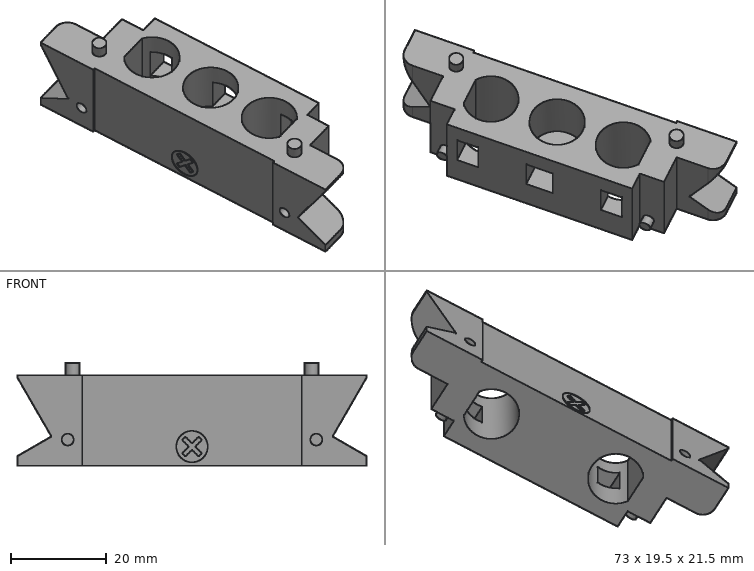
import cadquery as cq
import math

length = 73.0
depth = 19.5
total_height = 21.5
body_height = 19.0

wing_depth = 8.55
wing_corner_radius = 3.0
shoulder_width = 53.0
shoulder_depth = 15.3
back_width = 42.05

relief_width = 46.0
relief_depth = 0.5

notch_depth = 7.1
notch_floor_angle = 30.0
end_foot_height = 2.05

bore_diameter = 11.6
bore_spacing = 15.05
bore_center_y = 10.0
flat_to_flat = 39.7
center_bore_floor = 7.15

slot_roof_thickness = 4.6
slot_ceiling = body_height - slot_roof_thickness
slot_flat_gap = 1.2
slot_outer_reach = flat_to_flat / 2 - slot_flat_gap
outer_slot_width = 4.75
center_slot_width = 6.0

top_pin_diameter = 3.0
top_pin_spacing = 50.0
top_pin_y = 5.05
side_pin_diameter = 2.5
back_pin_spacing = 46.0
back_pin_z = 3.3
back_pin_length = 2.05
front_hole_spacing = 52.0
front_hole_z = 5.5
front_hole_depth = 3.65

screw_diameter = 6.6
screw_z = 4.0
screw_sink = 0.15
cross_length = 4.9
cross_width = 0.95
cross_depth = 0.15


def box(x_min, x_max, y_min, y_max, z_min, z_max):
    """Axis-aligned block between the given limits."""
    size = (x_max - x_min, y_max - y_min, z_max - z_min)
    return cq.Workplane("XY").box(*size, centered=False).translate((x_min, y_min, z_min))


def centered_block(width, y_max):
    """Full-height block centred on X, from the front face to y_max."""
    return box(-width / 2, width / 2, 0, y_max, 0, body_height)


def y_cylinder(x, z, diameter, y_start, y_end):
    """Cylinder along +Y."""
    plane = cq.Workplane("XZ", origin=(x, y_start, z))
    return plane.circle(diameter / 2).extrude(y_start - y_end)


def make_body():
    wings = centered_block(length, wing_depth)
    wings = wings.edges("|Z and >Y").fillet(wing_corner_radius)
    body = wings.union(centered_block(shoulder_width, shoulder_depth))
    body = body.union(centered_block(back_width, depth))
    relief = box(-relief_width / 2, relief_width / 2, 0, relief_depth, 0, body_height)
    return body.cut(relief)


def end_notch(side):
    """V notch whose lower face slopes up and upper face slopes down to a right angle."""
    slope = math.tan(math.radians(notch_floor_angle))
    tip_z = end_foot_height + notch_depth * slope
    top_z = tip_z + notch_depth / slope
    outer_x = side * length / 2
    tip_x = side * (length / 2 - notch_depth)
    profile = [(outer_x, end_foot_height), (tip_x, tip_z), (outer_x, top_z)]
    return cq.Workplane("XZ").polyline(profile).close().extrude(-wing_depth)


def bore(x, floor_z):
    plane = cq.Workplane("XY", origin=(x, bore_center_y, floor_z))
    return plane.circle(bore_diameter / 2).extrude(body_height - floor_z)


def make_bores():
    through_floor = 0
    outer = bore(-bore_spacing, through_floor).union(bore(bore_spacing, through_floor))
    outer = outer.intersect(centered_block(flat_to_flat, depth))
    return outer.union(bore(0, center_bore_floor))


def slot(x_min, x_max):
    """Rectangular slot from the bore centre line out through the back face."""
    return box(x_min, x_max, bore_center_y, depth, center_bore_floor, slot_ceiling)


def screw_recess():
    """Sunk screw head with a diagonal cross recess."""
    head_y = relief_depth + screw_sink
    recess = y_cylinder(0, screw_z, screw_diameter, relief_depth, head_y)
    for angle in (45, -45):
        arm = cq.Workplane("XZ", origin=(0, head_y, screw_z)).transformed(rotate=(0, 0, angle))
        recess = recess.union(arm.rect(cross_length, cross_width).extrude(-cross_depth))
    return recess


def make_slots():
    slot_inner_reach = slot_outer_reach - outer_slot_width
    center = slot(-center_slot_width / 2, center_slot_width / 2)
    right = slot(slot_inner_reach, slot_outer_reach)
    left = slot(-slot_outer_reach, -slot_inner_reach)
    return center.union(right).union(left)


def front_hole(side):
    return y_cylinder(side * front_hole_spacing / 2, front_hole_z, side_pin_diameter, 0, front_hole_depth)


def back_pin(side):
    pin_end = shoulder_depth + back_pin_length
    return y_cylinder(side * back_pin_spacing / 2, back_pin_z, side_pin_diameter, shoulder_depth, pin_end)


def top_pin(side):
    plane = cq.Workplane("XY", origin=(side * top_pin_spacing / 2, top_pin_y, body_height))
    return plane.circle(top_pin_diameter / 2).extrude(total_height - body_height)


result = make_body().cut(make_bores()).cut(make_slots()).cut(screw_recess())
for side in (-1, 1):
    result = result.cut(end_notch(side)).cut(front_hole(side))
    result = result.union(back_pin(side)).union(top_pin(side))